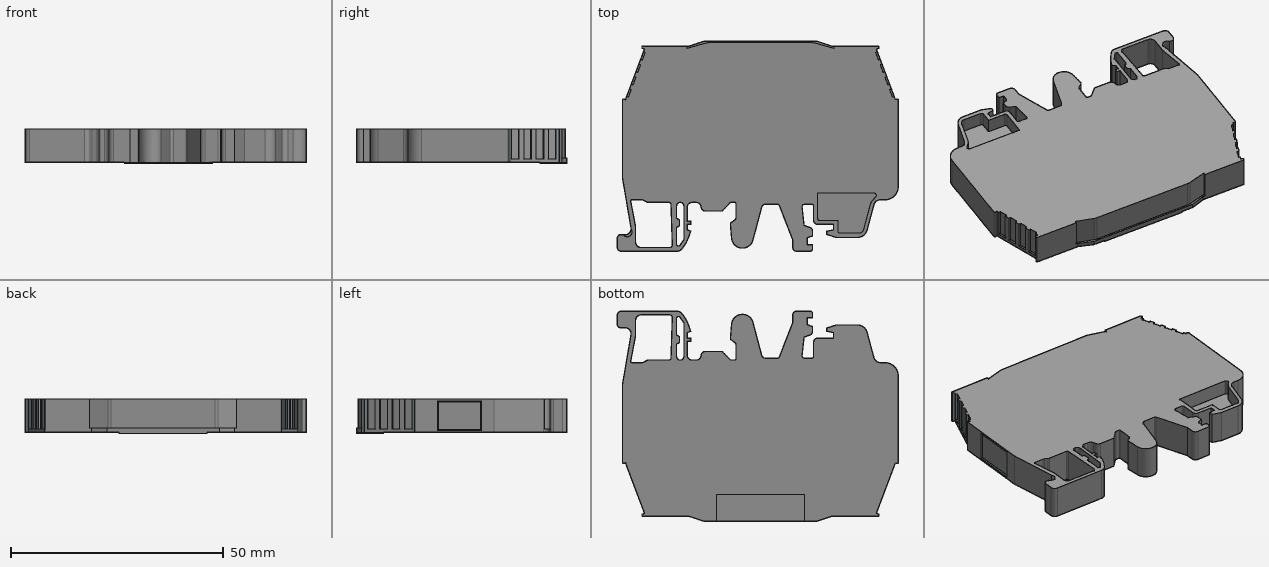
import cadquery as cq
import math

length = 66.25
depth = 49.55
slab_height = 7.9
label_thickness = 0.25

body_left = 1.25
body_centre = (body_left + length) / 2
shoulder_y = 48.35
rail_roof_y = 11.5
clip_roof_y = 11.05

foot_top_y = 4.0
hook_wall_x = 16.55
slot_left_x = 14.05
leg_tip_x = 46.05

lid_height = 1.05
lid_half_width = 17.3
lid_ramp_half_width = 16.8
lid_crown_half_width = 13.25
lid_inner_half_width = 12.6
lid_inner_crown_y = depth - 0.4
lid_inner_bend = 2.65
lid_inner_end_y = 47.8

label_half_width = 10.4
label_depth = 6.35

grip_top = (6.4, 47.65)
grip_bottom = (2.1, 36.25)
groove_count = 4
groove_first = 0.65
groove_pitch = 3.1
groove_width = 1.9
groove_cut = 0.45
groove_floor_z = 0.85

recess_centre_y = 25.3
recess_centre_z = 3.9
recess_width = 10.35
recess_height = 6.95
recess_depth = 0.25
recess_taper = 45.0

relief_centre = (2.4, 4.6)
relief_radius = 1.1

pocket_depth = 3.65


def corner_arc(before, corner, after, radius):
    """Start, middle and end point of the arc that rounds a corner."""
    to_before = cq.Vector(*before) - cq.Vector(*corner)
    to_after = cq.Vector(*after) - cq.Vector(*corner)
    half_angle = to_before.getAngle(to_after) / 2
    tangent = radius / math.tan(half_angle)
    bisector = (to_before.normalized() + to_after.normalized()).normalized()
    start = cq.Vector(*corner) + to_before.normalized() * tangent
    end = cq.Vector(*corner) + to_after.normalized() * tangent
    middle = cq.Vector(*corner) + bisector * (radius / math.sin(half_angle) - radius)
    return start, middle, end


def rounded_prism(corners, bottom, height):
    """Extrude a closed outline of corners (x, y) or (x, y, corner radius)."""
    path = cq.Workplane("XY").workplane(offset=bottom)
    started = False
    for i, corner in enumerate(corners):
        point = corner[:2]
        if len(corner) == 3:
            before = corners[i - 1][:2]
            after = corners[(i + 1) % len(corners)][:2]
            start, middle, end = corner_arc(before, point, after, corner[2])
            first = (start.x, start.y)
            path = path.lineTo(*first) if started else path.moveTo(*first)
            path = path.threePointArc((middle.x, middle.y), (end.x, end.y))
        else:
            path = path.lineTo(*point) if started else path.moveTo(*point)
        started = True
    return path.close().extrude(height)


def mirrored(corners):
    """Corners reflected about the body centre line, in reverse order."""
    return [(2 * body_centre - c[0], *c[1:]) for c in reversed(corners)]


foot_and_hook = [
    (body_left, 17.2),
    (3.5, foot_top_y, 1.3),
    (0, foot_top_y, 0.85),
    (0, 0, 1.05),
    (14.85, 0, 1.65),
    (16.5, 2.25, 8.6),
    (17.35, 4.8),
    (hook_wall_x, 5.1),
    (hook_wall_x, 6.35),
    (17.35, 6.35),
    (17.35, 7.15),
    (hook_wall_x, 7.15),
    (hook_wall_x, rail_roof_y, 1.05),
]

middle_leg = [
    (19.5, rail_roof_y, 1.05),
    (20.0, 9.5, 1.05),
    (24.7, 9.5),
    (26.7, rail_roof_y, 0.3),
    (27.95, rail_roof_y, 0.2),
    (27.95, 7.6, 0.5),
    (26.6, 6.6, 0.5),
    (28.2, -11.5, 2.6),
    (34.25, clip_roof_y, 0.85),
]

right_leg = [
    (38.1, clip_roof_y, 0.3),
    (41.35, 2.7),
    (41.35, 0, 1.0),
    (leg_tip_x, 0, 0.6),
    (leg_tip_x, 1.6),
    (44.8, 1.6),
    (44.8, 3.2, 0.2),
    (leg_tip_x, 3.65),
    (leg_tip_x, 5.4, 0.85),
    (44.05, 6.15),
    (43.5, clip_roof_y, 0.5),
]

clip = [
    (46.25, clip_roof_y, 0.3),
    (46.25, 6.35, 1.0),
    (50.95, 6.35),
    (50.95, 5.1),
    (49.35, 4.8),
    (49.35, 4.0),
    (51.7, 3.25),
    (58.4, 3.25, 2.45),
    (60.8, 12.1, 1.45),
    (length, 12.1, 3.2),
]

upper_left_corner = [
    (body_centre - lid_crown_half_width, depth),
    (body_centre - lid_ramp_half_width, shoulder_y),
    (5.8, shoulder_y, 0.2),
    (5.8, 47.8),
    grip_top,
    grip_bottom,
    (2.0, 35.8),
    (body_left, 36.05, 0.25),
]

outline = (
    foot_and_hook + middle_leg + right_leg + clip + mirrored(upper_left_corner) + upper_left_corner
)
plate = rounded_prism(outline, 0, slab_height)

foot_window = [
    (3.2, 12.1, 0.2),
    (6.0, 12.1, 0.65),
    (7.15, rail_roof_y, 0.65),
    (12.65, rail_roof_y, 0.4),
    (13.0, 0.9, 0.6),
    (4.4, 0.9, 1.25),
    (4.4, 5.8),
]
spring_slot = [
    (slot_left_x, rail_roof_y, 0.8),
    (15.7, rail_roof_y, 0.8),
    (15.7, 2.8),
    (14.7, 1.3, 0.2),
    (slot_left_x, 1.3, 0.25),
    (slot_left_x, 5.6),
    (14.7, 6.0, 0.2),
    (14.7, 7.4, 0.2),
    (slot_left_x, 7.8),
]
for opening in (foot_window, spring_slot):
    plate = plate.cut(rounded_prism(opening, 0, slab_height))

clip_pocket = [
    (47.25, 13.8),
    (60.7, 13.8, 0.2),
    (61.15, 13.2, 0.2),
    (59.75, 11.5, 1.3),
    (57.85, 4.3, 1.2),
    (52.0, 4.3, 0.45),
    (52.0, 7.3),
    (47.25, 7.3, 0.45),
]
plate = plate.cut(rounded_prism(clip_pocket, slab_height - pocket_depth, pocket_depth))

lid_inner_left = [
    (body_centre - lid_inner_half_width, lid_inner_crown_y, lid_inner_bend),
    (body_centre - lid_half_width, lid_inner_end_y),
    (body_centre - lid_half_width, depth),
]
lid_setback = mirrored(lid_inner_left) + lid_inner_left
plate = plate.cut(rounded_prism(lid_setback, lid_height, slab_height - lid_height))

slant_x = grip_bottom[0] - grip_top[0]
slant_y = grip_bottom[1] - grip_top[1]
slant_length = math.hypot(slant_x, slant_y)
slant_angle = math.degrees(math.atan2(slant_y, slant_x))
for i in range(groove_count):
    along = (groove_first + i * groove_pitch + groove_width / 2) / slant_length
    groove = (
        cq.Workplane("XY")
        .box(groove_width, 2 * groove_cut, slab_height, centered=(True, True, False))
        .rotate((0, 0, 0), (0, 0, 1), slant_angle)
        .translate((grip_top[0] + along * slant_x, grip_top[1] + along * slant_y, groove_floor_z))
    )
    plate = plate.cut(groove).cut(groove.mirror("YZ", (body_centre, 0, 0)))

relief = (
    cq.Workplane("XY")
    .workplane(offset=groove_floor_z)
    .center(*relief_centre)
    .circle(relief_radius)
    .extrude(slab_height)
)
plate = plate.cut(relief)

recess = (
    cq.Workplane("YZ", origin=(body_left, recess_centre_y, recess_centre_z))
    .rect(recess_width, recess_height)
    .extrude(recess_depth, taper=recess_taper)
)
plate = plate.cut(recess)

label_pad = cq.Workplane("XY").box(
    2 * label_half_width, label_depth, label_thickness, centered=(True, False, False)
).translate((body_centre, depth - label_depth, -label_thickness))

result = plate.union(label_pad)